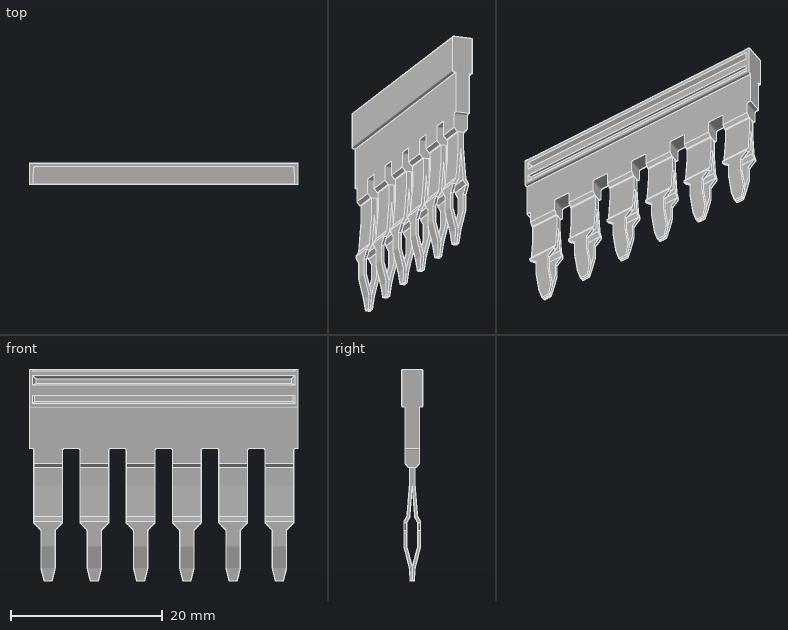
import cadquery as cq


LENGTH = 35.5
HEIGHT = 27.95
HEAD_THICKNESS = 2.8
BODY_THICKNESS = 1.9

HEAD_BOTTOM = -4.97
BODY_BOTTOM = -10.45
LEG_BEVEL_TOP = -12.42
LEG_BOTTOM = -12.95
LEG_BOTTOM_THICKNESS = 1.03
HEAD_FILLET = 0.18
NOTCH_FILLET = 0.2

CONTACT_COUNT = 6
PITCH = 6.1
LEG_WIDTH = 3.85

POCKET_DEPTH = HEAD_FILLET
POCKET_BACK_RIM = 0.45
POCKET_END_RIM_BACK = 0.57
POCKET_END_RIM_FRONT = 0.45
POCKET_FILLET = 0.2

GROOVE_END_RIM = 0.45
UPPER_GROOVE_TOP = -0.8
UPPER_GROOVE_BOTTOM = -2.05
UPPER_GROOVE_DEPTH = 0.8
UPPER_GROOVE_TAPER = 0.45
UPPER_GROOVE_FLOOR_TAPER = 0.2
LOWER_GROOVE_TOP = -3.4
LOWER_GROOVE_BOTTOM = -4.5
LOWER_GROOVE_DEPTH = 0.43
LOWER_GROOVE_END_TAPER = 0.2
LOWER_GROOVE_FLOOR_TAPER = 0.25

LEAF_THICKNESS = 0.4
LEAF_SPLIT = -15.37
SHOULDER_TOP = -19.4
SHOULDER_BOTTOM = -20.05
SHOULDER_NECK = 0.7
BULGE = 1.1
INNER_BEND_DROP = 0.15
LOWER_BEND = -23.4
JOINT_LENGTH = 0.25
TIP_TOP = -26.25
TIP_HALF_THICKNESS = 0.3
TIP_HALF_GAP = 0.05

NARROWING_TOP = -20.25
NARROWING_BOTTOM = -21.23
BLADE_WIDTH = 1.9
TIP_WIDTH = 1.05
TIP_FILLET = 0.18

TIP_BOTTOM = -HEIGHT
FRONT = -HEAD_THICKNESS / 2
CONTACT_CENTRES = [(i - (CONTACT_COUNT - 1) / 2) * PITCH for i in range(CONTACT_COUNT)]


def mirrored_outline(right_side):
    """Complete a list of (offset, z) points with its mirror image about offset = 0."""
    return right_side + [(-offset, z) for offset, z in reversed(right_side)]


def extruded_along_x(points, length):
    """Extrude a (y, z) outline along X, centred on X = 0."""
    return cq.Workplane("YZ").polyline(points).close().extrude(length / 2, both=True)


def extruded_along_y(points, length):
    """Extrude an (x, z) outline along Y, centred on Y = 0."""
    return cq.Workplane("XZ").polyline(points).close().extrude(length / 2, both=True)


def make_housing_block():
    """Rounded wide head on a thinner body, with bevelled lower edges, over the full length."""
    head = (
        cq.Workplane("XY")
        .box(LENGTH, HEAD_THICKNESS, -HEAD_BOTTOM, centered=(True, True, False))
        .translate((0, 0, HEAD_BOTTOM))
        .edges("|X")
        .fillet(HEAD_FILLET)
    )
    body = extruded_along_x(
        mirrored_outline([
            (BODY_THICKNESS / 2, 0),
            (BODY_THICKNESS / 2, LEG_BEVEL_TOP),
            (LEG_BOTTOM_THICKNESS / 2, LEG_BOTTOM),
        ]),
        LENGTH,
    )
    return head.union(body)


def make_housing_outline():
    """Front outline of the housing: a plate with one leg above each contact."""
    plate = cq.Workplane("XY").box(LENGTH, HEAD_THICKNESS, -BODY_BOTTOM, centered=(True, True, False))
    outline = plate.translate((0, 0, BODY_BOTTOM))
    for x in CONTACT_CENTRES:
        leg = cq.Workplane("XY").box(LEG_WIDTH, HEAD_THICKNESS, -LEG_BOTTOM, centered=(True, True, False))
        outline = outline.union(leg.translate((x, 0, LEG_BOTTOM)))
    leg_sides = [x + side * LEG_WIDTH / 2 for x in CONTACT_CENTRES for side in (-1, 1)]
    for x in leg_sides:
        outline = outline.edges(cq.NearestToPointSelector((x, 0, BODY_BOTTOM))).fillet(NOTCH_FILLET)
    return outline


def make_label_pocket():
    """Shallow pocket in the top face, slightly wider towards its open front."""
    back_half = LENGTH / 2 - POCKET_END_RIM_BACK
    front_half = LENGTH / 2 - POCKET_END_RIM_FRONT
    back = -FRONT - POCKET_BACK_RIM
    return (
        cq.Workplane("XY")
        .polyline([(-front_half, FRONT), (front_half, FRONT), (back_half, back), (-back_half, back)])
        .close()
        .extrude(-POCKET_DEPTH)
        .edges("|Z and >Y")
        .fillet(POCKET_FILLET)
    )


def make_groove(top, bottom, depth, end_taper, top_taper, floor_taper):
    """Long groove cut into the front face, tapering inwards to a smaller back wall."""
    length = LENGTH - 2 * GROOVE_END_RIM
    back_top = top - top_taper
    back_bottom = bottom + floor_taper
    return (
        cq.Workplane("XZ", origin=(0, FRONT, (top + bottom) / 2))
        .rect(length, top - bottom)
        .workplane(offset=-depth)
        .center(0, (back_top + back_bottom - top - bottom) / 2)
        .rect(length - 2 * end_taper, back_top - back_bottom)
        .loft(ruled=True)
    )


def make_housing():
    upper_groove = make_groove(
        UPPER_GROOVE_TOP, UPPER_GROOVE_BOTTOM, UPPER_GROOVE_DEPTH,
        UPPER_GROOVE_TAPER, UPPER_GROOVE_TAPER, UPPER_GROOVE_FLOOR_TAPER,
    )
    lower_groove = make_groove(
        LOWER_GROOVE_TOP, LOWER_GROOVE_BOTTOM, LOWER_GROOVE_DEPTH,
        LOWER_GROOVE_END_TAPER, 0, LOWER_GROOVE_FLOOR_TAPER,
    )
    return (
        make_housing_block()
        .intersect(make_housing_outline())
        .cut(make_label_pocket())
        .cut(upper_groove)
        .cut(lower_groove)
    )


def make_leaf_pair():
    """Side profile of the contact over the full leg width: two bulged leaves around a gap."""
    sides = extruded_along_x(
        mirrored_outline([
            (LEAF_THICKNESS, LEG_BOTTOM),
            (LEAF_THICKNESS, LEAF_SPLIT),
            (SHOULDER_NECK, SHOULDER_TOP),
            (BULGE, SHOULDER_BOTTOM),
            (BULGE, LOWER_BEND),
            (LEAF_THICKNESS, TIP_TOP),
            (TIP_HALF_THICKNESS, TIP_BOTTOM),
        ]),
        LEG_WIDTH,
    )
    inner_bulge = BULGE - LEAF_THICKNESS
    inner_neck = SHOULDER_NECK - LEAF_THICKNESS
    gap_right = [
        (inner_neck, SHOULDER_TOP - INNER_BEND_DROP),
        (inner_bulge, SHOULDER_BOTTOM - INNER_BEND_DROP),
        (inner_bulge, LOWER_BEND),
    ]
    gap_left = [(-y, z) for y, z in reversed(gap_right)]
    gap = extruded_along_x(
        [(0, LEAF_SPLIT), *gap_right, (0, TIP_TOP + JOINT_LENGTH), *gap_left],
        LEG_WIDTH,
    )
    tip_slit = extruded_along_x(
        [(0, TIP_TOP), (TIP_HALF_GAP, TIP_BOTTOM), (-TIP_HALF_GAP, TIP_BOTTOM)],
        LEG_WIDTH,
    )
    return sides.cut(gap).cut(tip_slit)


def make_contact_outline():
    """Front outline of the contact: full width, narrowing to a blade with a tapered tip."""
    outline = extruded_along_y(
        mirrored_outline([
            (LEG_WIDTH / 2, LEG_BOTTOM),
            (LEG_WIDTH / 2, NARROWING_TOP),
            (BLADE_WIDTH / 2, NARROWING_BOTTOM),
            (BLADE_WIDTH / 2, TIP_TOP),
            (TIP_WIDTH / 2, TIP_BOTTOM),
        ]),
        HEAD_THICKNESS,
    )
    return outline.faces("<Z").edges("|Y").fillet(TIP_FILLET)


def make_contact():
    return make_leaf_pair().intersect(make_contact_outline())


housing = make_housing()
contact = make_contact()
contacts = [contact.translate((x, 0, 0)).val() for x in CONTACT_CENTRES]

result = cq.Compound.makeCompound([housing.val(), *contacts])